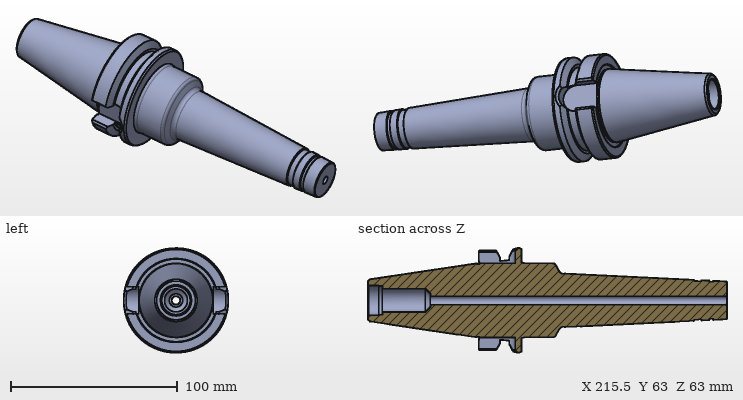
import cadquery as cq
import math

total_length = 215.5
cutter_clearance = 2.2

shank_tip_radius = 12.7
shank_tip_chamfer = 1.0
gauge_radius = 22.3
taper_end_x = 65.3
relief_wall_run = 0.5
relief_radius = 22.0

flange_radius = 31.5
flange_start_x = 66.3
flange_end_x = 92.2
flange_front_chamfer = 0.9
flange_back_chamfer_length = 1.3
flange_back_chamfer_height = 0.6
face_recess_radius = 24.8
face_recess_depth = 0.5
face_recess_flare = 0.5
vee_start_x = 76.7
vee_end_x = 87.2
vee_floor_radius = 25.2
vee_run = 2.5
vee_angle = 60.0
vee_depth = vee_run * math.tan(math.radians(vee_angle))

hub_radius = 22.3
hub_relief_radius = 22.8
hub_start_x = 94.1
hub_end_x = 111.0
shoulder_round_x = 112.9
shoulder_round_radius = 21.0
shoulder_slope_x = 114.8
shoulder_slope_radius = 17.5
neck_start_x = 118.0

neck_radius = 16.2
nose_radius = 11.5
nose_chamfer = 0.5
ring_grooves = ((195.5, 200.0), (204.6, 207.2))
ring_groove_depth = 0.6
ring_groove_wall_run = 0.5

slot_width = 16.2
slot_floor_y = 22.5
slot_height = flange_radius + cutter_clearance - slot_floor_y
slot_tip_x = 88.3
slot_chamfer = 1.5
rim_inner_y = 29.0
selection_margin = 0.2

mouth_radius = 8.8
mouth_chamfer = 0.54
counterbore_radius = 8.5
mouth_depth = 6.5
counterbore_depth = 8.6
thread_radius = 7.0
thread_depth = 34.5
drill_cone_end_radius = 3.98
drill_cone_length = thread_radius - drill_cone_end_radius
coolant_radius = 2.48


def revolved(points):
    """Solid of revolution about the shaft axis from (x, radius) points."""
    return cq.Workplane("XY").polyline(points).close().revolve(360, (0, 0, 0), (1, 0, 0))


def neck_radius_at(x):
    """Radius of the straight tapered neck at position x."""
    share = (x - neck_start_x) / (total_length - neck_start_x)
    return neck_radius + share * (nose_radius - neck_radius)


def make_body():
    outline = (
        cq.Workplane("XY")
        .lineTo(0, shank_tip_radius - shank_tip_chamfer)
        .lineTo(shank_tip_chamfer, shank_tip_radius)
        .lineTo(taper_end_x, gauge_radius)
        .lineTo(taper_end_x + relief_wall_run, relief_radius)
        .lineTo(flange_start_x + face_recess_depth, relief_radius)
        .lineTo(flange_start_x + face_recess_depth, face_recess_radius)
        .lineTo(flange_start_x, face_recess_radius + face_recess_flare)
        .lineTo(flange_start_x, flange_radius)
        .lineTo(flange_end_x, flange_radius)
        .lineTo(flange_end_x, hub_relief_radius)
        .lineTo(hub_start_x, hub_radius)
        .lineTo(hub_end_x, hub_radius)
        .tangentArcPoint((shoulder_round_x, shoulder_round_radius), relative=False)
        .lineTo(shoulder_slope_x, shoulder_slope_radius)
        .tangentArcPoint((neck_start_x, neck_radius), relative=False)
    )
    for start_x, end_x in ring_grooves:
        floor_start_x = start_x + ring_groove_wall_run
        floor_end_x = end_x - ring_groove_wall_run
        outline = (
            outline.lineTo(start_x, neck_radius_at(start_x))
            .lineTo(floor_start_x, neck_radius_at(floor_start_x) - ring_groove_depth)
            .lineTo(floor_end_x, neck_radius_at(floor_end_x) - ring_groove_depth)
            .lineTo(end_x, neck_radius_at(end_x))
        )
    outline = (
        outline.lineTo(total_length - nose_chamfer, neck_radius_at(total_length - nose_chamfer))
        .lineTo(total_length, nose_radius - nose_chamfer)
        .lineTo(total_length, 0)
        .close()
    )
    return outline.revolve(360, (0, 0, 0), (1, 0, 0))


def cut_drive_slots(body):
    """Cut both slots and chamfer their rims on the flange's outer surface."""
    tip_centre_x = slot_tip_x - slot_width / 2
    slot_start_x = taper_end_x
    straight_length = tip_centre_x - slot_start_x
    for side in (1, -1):
        slot = (
            cq.Workplane("XZ", origin=(0, side * slot_floor_y, 0))
            .center(slot_start_x + straight_length / 2, 0)
            .rect(straight_length, slot_width)
            .extrude(-side * slot_height)
        )
        tip = (
            cq.Workplane("XZ", origin=(tip_centre_x, side * slot_floor_y, 0))
            .circle(slot_width / 2)
            .extrude(-side * slot_height)
        )
        body = body.cut(slot.union(tip))
    rim_edges = cq.selectors.BoxSelector(
        (flange_start_x + selection_margin, -flange_radius, -slot_width),
        (slot_tip_x + selection_margin, flange_radius, slot_width),
    ) - cq.selectors.BoxSelector(
        (0, -rim_inner_y, -slot_width),
        (total_length, rim_inner_y, slot_width),
    )
    return body.edges(rim_edges).chamfer(slot_chamfer)


def cut_flange_profile(body):
    """Turn the V groove and the chamfers on both rims of the flange."""
    vee_shoulder_radius = flange_radius - vee_depth
    outside_radius = flange_radius + cutter_clearance
    vee = revolved([
        (vee_start_x, outside_radius),
        (vee_start_x, flange_radius),
        (vee_start_x + vee_run, vee_shoulder_radius),
        (vee_start_x + vee_run, vee_floor_radius),
        (vee_end_x - vee_run, vee_floor_radius),
        (vee_end_x - vee_run, vee_shoulder_radius),
        (vee_end_x, flange_radius),
        (vee_end_x, outside_radius),
    ])
    front_chamfer = revolved([
        (flange_start_x, flange_radius - flange_front_chamfer),
        (flange_start_x, flange_radius),
        (flange_start_x + flange_front_chamfer, flange_radius),
    ])
    back_chamfer = revolved([
        (flange_end_x, flange_radius - flange_back_chamfer_height),
        (flange_end_x, flange_radius),
        (flange_end_x - flange_back_chamfer_length, flange_radius),
    ])
    return body.cut(vee).cut(front_chamfer).cut(back_chamfer)


def make_bore():
    cone_end_x = thread_depth + drill_cone_length
    return revolved([
        (0, 0),
        (0, mouth_radius + mouth_chamfer),
        (mouth_chamfer, mouth_radius),
        (mouth_depth, mouth_radius),
        (mouth_depth, counterbore_radius),
        (counterbore_depth, counterbore_radius),
        (counterbore_depth, thread_radius),
        (thread_depth, thread_radius),
        (cone_end_x, drill_cone_end_radius),
        (cone_end_x, coolant_radius),
        (total_length, coolant_radius),
        (total_length, 0),
    ])


result = cut_flange_profile(cut_drive_slots(make_body())).cut(make_bore())